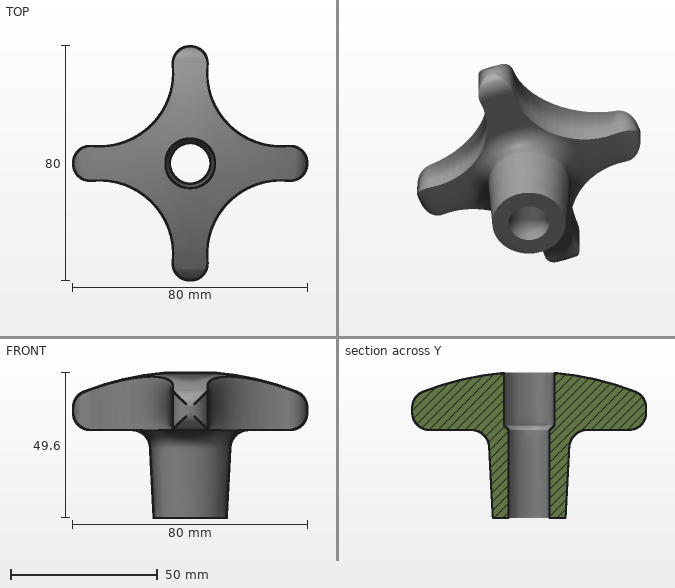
import cadquery as cq
import math

head_diameter = 80.0
base_z = 30.0
dome_apex_z = 50.0
dome_radius = 100.0
rim_radius = 6.0

tip_radius = 6.0
scallop_radius = 25.0

stem_bottom_radius = 12.5
stem_draft = math.radians(3)
neck_radius = 6.0

upper_bore_radius = 8.5
lower_bore_radius = 6.9
cone_bottom_z = base_z
cone_half_angle = math.radians(45)

head_radius = head_diameter / 2
rim_center_r = head_radius - rim_radius
dome_center_z = dome_apex_z - dome_radius
lower_rim_z = base_z + rim_radius
upper_rim_z = dome_center_z + math.sqrt((dome_radius - rim_radius) ** 2 - rim_center_r**2)
tip_center = head_radius - tip_radius
center_distance = tip_radius + scallop_radius
scallop_center = (tip_center + math.sqrt(2 * center_distance**2 - tip_center**2)) / 2


def arc_point(center, radius, angle):
    """Point on a circle at an angle given in radians."""
    return (center[0] + radius * math.cos(angle), center[1] + radius * math.sin(angle))


def turned_body():
    """Stem, neck and domed disc as one revolved (radius, height) profile."""
    neck_center_z = base_z - neck_radius
    stem_radius_at_neck = stem_bottom_radius + neck_center_z * math.tan(stem_draft)
    neck_center = (stem_radius_at_neck + neck_radius / math.cos(stem_draft), neck_center_z)
    neck_start_angle = math.pi - stem_draft
    neck_start = arc_point(neck_center, neck_radius, neck_start_angle)
    neck_middle = arc_point(neck_center, neck_radius, (neck_start_angle + math.pi / 2) / 2)
    neck_end = (neck_center[0], base_z)

    lower_rim = (rim_center_r, lower_rim_z)
    lower_rim_middle = arc_point(lower_rim, rim_radius, -math.pi / 4)

    upper_rim = (rim_center_r, upper_rim_z)
    shoulder_angle = math.atan2(upper_rim_z - dome_center_z, rim_center_r)
    upper_rim_middle = arc_point(upper_rim, rim_radius, shoulder_angle / 2)
    shoulder = arc_point(upper_rim, rim_radius, shoulder_angle)
    dome_middle = arc_point((0, dome_center_z), dome_radius, (shoulder_angle + math.pi / 2) / 2)

    return (
        cq.Workplane("XZ")
        .lineTo(stem_bottom_radius, 0)
        .lineTo(*neck_start)
        .threePointArc(neck_middle, neck_end)
        .lineTo(rim_center_r, base_z)
        .threePointArc(lower_rim_middle, (head_radius, lower_rim_z))
        .lineTo(head_radius, upper_rim_z)
        .threePointArc(upper_rim_middle, shoulder)
        .threePointArc(dome_middle, (0, dome_apex_z))
        .close()
        .revolve(360, (0, 0, 0), (0, 1, 0))
    )


def quarter_turn(point, turns):
    """Plan point turned about the part axis by whole quarter turns."""
    x, y = point
    for _ in range(turns):
        x, y = -y, x
    return (x, y)


def cross_prism():
    """Four-armed plan outline, extruded over the full height."""
    tangent_angle = math.atan2(scallop_center, scallop_center - tip_center)
    tip_start = arc_point((tip_center, 0), tip_radius, -tangent_angle)
    tip_end = arc_point((tip_center, 0), tip_radius, tangent_angle)
    scallop_middle = arc_point((scallop_center, scallop_center), scallop_radius, -3 * math.pi / 4)

    outline = cq.Workplane("XY").moveTo(*tip_start)
    for turns in range(4):
        outline = outline.threePointArc(
            quarter_turn((head_radius, 0), turns), quarter_turn(tip_end, turns)
        )
        outline = outline.threePointArc(
            quarter_turn(scallop_middle, turns), quarter_turn(tip_start, turns + 1)
        )
    return outline.close().extrude(dome_apex_z)


def stepped_bore():
    """Through bore whose two diameters are joined by a cone."""
    cone_height = (upper_bore_radius - lower_bore_radius) / math.tan(cone_half_angle)
    return (
        cq.Workplane("XZ")
        .lineTo(lower_bore_radius, 0)
        .lineTo(lower_bore_radius, cone_bottom_z)
        .lineTo(upper_bore_radius, cone_bottom_z + cone_height)
        .lineTo(upper_bore_radius, dome_apex_z)
        .lineTo(0, dome_apex_z)
        .close()
        .revolve(360, (0, 0, 0), (0, 1, 0))
    )


result = turned_body().intersect(cross_prism()).cut(stepped_bore())